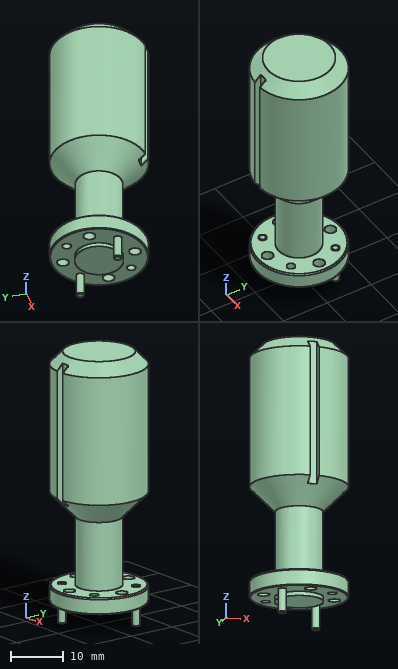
import cadquery as cq
import math

boss_bottom = 3.9
flange_bottom = 4.7
flange_top = 8.0
cone_top = 26.6
total_height = 54.65

outer_radius = 9.5
neck_radius = 4.6
boss_radius = 4.7
head_chamfer = 2.5
flange_top_chamfer = 0.3
flange_bottom_chamfer = 0.15

cone_bottom = cone_top - (outer_radius - neck_radius)

slot_width = 1.8
slot_depth = 1.35

bolt_circle_radius = 7.15
screw_hole_diameter = 2.3
screw_hole_angles = [0, 90, 180, 270]
alignment_hole_diameter = 1.7
alignment_hole_angles = [135, 315]

pin_diameter = 1.6
pin_chamfer = 0.15
pin_angles = [45, 225]


def bolt_circle_points(angles):
    """Places on the bolt circle at the given angles from +X, in degrees."""
    return [
        (
            bolt_circle_radius * math.cos(math.radians(angle)),
            bolt_circle_radius * math.sin(math.radians(angle)),
        )
        for angle in angles
    ]


def make_turned_blank():
    """Solid of revolution: boss, flange, neck, cone and head."""
    profile = [
        (0, boss_bottom),
        (boss_radius, boss_bottom),
        (boss_radius, flange_bottom),
        (outer_radius - flange_bottom_chamfer, flange_bottom),
        (outer_radius, flange_bottom + flange_bottom_chamfer),
        (outer_radius, flange_top - flange_top_chamfer),
        (outer_radius - flange_top_chamfer, flange_top),
        (neck_radius, flange_top),
        (neck_radius, cone_bottom),
        (outer_radius, cone_top),
        (outer_radius, total_height - head_chamfer),
        (outer_radius - head_chamfer, total_height),
        (0, total_height),
    ]
    return cq.Workplane("XZ").polyline(profile).close().revolve(360, (0, 0, 0), (0, 1, 0))


def make_slot_cutter():
    """Bar that cuts the slot, running out through both conical faces."""
    return (
        cq.Workplane("XY")
        .workplane(offset=cone_bottom)
        .center(0, -outer_radius)
        .rect(slot_width, 2 * slot_depth)
        .extrude(total_height - cone_bottom)
    )


def make_flange_hole_cutters(angles, diameter):
    """Cylinders that cut holes through the full flange thickness."""
    return (
        cq.Workplane("XY")
        .workplane(offset=flange_bottom)
        .pushPoints(bolt_circle_points(angles))
        .circle(diameter / 2)
        .extrude(flange_top - flange_bottom)
    )


def make_housing():
    """Turned housing with its slot, screw holes, alignment holes and pin holes."""
    return (
        make_turned_blank()
        .cut(make_slot_cutter())
        .cut(make_flange_hole_cutters(screw_hole_angles, screw_hole_diameter))
        .cut(make_flange_hole_cutters(alignment_hole_angles, alignment_hole_diameter))
        .cut(make_flange_hole_cutters(pin_angles, pin_diameter))
    )


def make_pin(x, y):
    """Alignment pin, chamfered at both ends."""
    return (
        cq.Workplane("XY")
        .center(x, y)
        .circle(pin_diameter / 2)
        .extrude(flange_top)
        .edges("%CIRCLE")
        .chamfer(pin_chamfer)
    )


housing = make_housing()
pins = [make_pin(x, y) for x, y in bolt_circle_points(pin_angles)]

result = cq.Compound.makeCompound([housing.val(), *[pin.val() for pin in pins]])